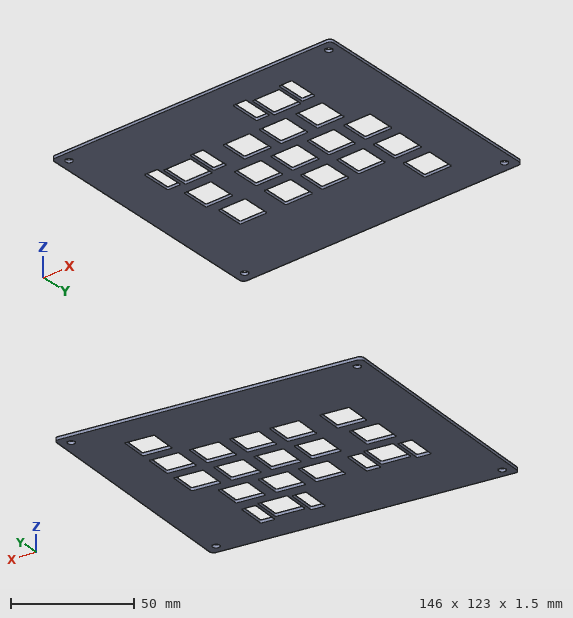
import cadquery as cq

plate_length = 146.0
plate_width = 123.0
plate_thickness = 1.5
plate_corner_radius = 2.0

mount_hole_diameter = 3.4
mount_hole_inset = 5.1

pitches_spanned = 2.055
columns_span = 39.1
key_pitch = columns_span / pitches_spanned
first_column_x = -14.5
bottom_row_y = -38.4
key_size = 14.0
cutout_corner_radius = 0.5

slot_width = 6.7
slot_height = 15.0
slot_offset_x = 12.0
slot_offset_y = -1.6

key_rows = [
    [2.125],
    [-1.125, 0.5, 1.5, 2.5],
    [-1.375, 0, 1, 2, 3],
    [-1.25, 0, 1, 2, 3],
    [3],
]
wide_keys = [(2.125, 0), (-1.125, 1)]


def key_center(column, row):
    """Center of the key cutout at a column and row of the grid."""
    return (first_column_x + column * key_pitch, bottom_row_y + row * key_pitch)


def through_cutters(centers, width, height):
    """Round-cornered rectangular prisms through the plate thickness."""
    return (
        cq.Workplane("XY")
        .pushPoints(centers)
        .rect(width, height)
        .extrude(plate_thickness)
        .edges("|Z")
        .fillet(cutout_corner_radius)
    )


plate = (
    cq.Workplane("XY")
    .rect(plate_length, plate_width)
    .extrude(plate_thickness)
    .edges("|Z")
    .fillet(plate_corner_radius)
)

mount_holes = (
    cq.Workplane("XY")
    .rect(
        plate_length - 2 * mount_hole_inset,
        plate_width - 2 * mount_hole_inset,
        forConstruction=True,
    )
    .vertices()
    .circle(mount_hole_diameter / 2)
    .extrude(plate_thickness)
)

key_centers = [
    key_center(column, row)
    for row, columns in enumerate(key_rows)
    for column in columns
]

slot_centers = []
for column, row in wide_keys:
    key_x, key_y = key_center(column, row)
    for side in (-1, 1):
        slot_centers.append((key_x + side * slot_offset_x, key_y + slot_offset_y))

result = (
    plate
    .cut(mount_holes)
    .cut(through_cutters(key_centers, key_size, key_size))
    .cut(through_cutters(slot_centers, slot_width, slot_height))
)